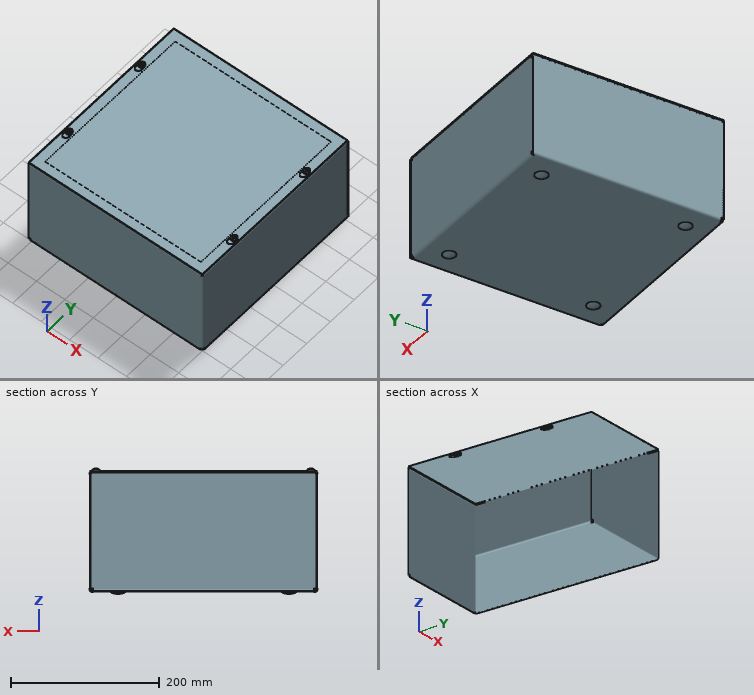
import cadquery as cq
import math

WIDTH = 308.0
SHEET = 1.5
BEND_RADIUS = 2.8
FLOOR_BEND_RADIUS = 4.0
FOOT_HEIGHT = 2.8
HOUSING_BOTTOM = FOOT_HEIGHT
HOUSING_TOP = 165.5
HOUSING_HEIGHT = HOUSING_TOP - HOUSING_BOTTOM
HOUSING_MIDDLE = (HOUSING_TOP + HOUSING_BOTTOM) / 2
FLANGE_WIDTH = 17.0
RELIEF_SIZE = 4.5

FOOT_DIAMETER = 19.7
FOOT_OFFSET = 115.5

LID_MARGIN = 1.2
LID_WIDTH = WIDTH - 2 * LID_MARGIN

TOTAL_HEIGHT = 170.0
SCREW_X = 145.0
SCREW_Y = 76.5
HEAD_DIAMETER = 10.0
SLOT_WIDTH = HEAD_DIAMETER
HEAD_DOME_HEIGHT = 2.2
HEAD_RIM_HEIGHT = TOTAL_HEIGHT - HEAD_DOME_HEIGHT - HOUSING_TOP
SLOT_TRAVEL = 7.7
RECESS_LENGTH = 6.0
RECESS_WIDTH = 1.2
RECESS_DEPTH = 2.0

SCREW_POINTS = [(x, y) for x in (-SCREW_X, SCREW_X) for y in (-SCREW_Y, SCREW_Y)]
FOOT_POINTS = [(x, y) for x in (-FOOT_OFFSET, FOOT_OFFSET) for y in (-FOOT_OFFSET, FOOT_OFFSET)]


def cap_midpoint(diameter, height):
    """Point halfway along the arc from the rim of a spherical cap to its top."""
    rim_radius = diameter / 2
    sphere_radius = (rim_radius**2 + height**2) / (2 * height)
    half_angle = math.asin(rim_radius / sphere_radius) / 2
    drop = sphere_radius * (1 - math.cos(half_angle))
    return sphere_radius * math.sin(half_angle), height - drop


def dome(diameter, height):
    """Spherical cap standing on the XY plane."""
    return (
        cq.Workplane("XZ")
        .lineTo(diameter / 2, 0)
        .threePointArc(cap_midpoint(diameter, height), (0, height))
        .close()
        .revolve(360, (0, 0), (0, 1))
    )


def blank(inset):
    """Square-edged housing envelope moved inward by inset."""
    width = WIDTH - 2 * inset
    height = HOUSING_HEIGHT - 2 * inset
    return cq.Workplane("XY").box(width, width, height).translate((0, 0, HOUSING_MIDDLE))


def side_bends(inset):
    """Envelope with its side panels bent into the floor and the top flange."""
    bent_at_floor = blank(inset).edges("|Y and <Z").fillet(FLOOR_BEND_RADIUS - inset)
    return bent_at_floor.edges("|Y and >Z").fillet(BEND_RADIUS - inset)


def folded_block(inset):
    """Envelope with every edge bent except the two upright rear ones."""
    end_bends = blank(inset).edges("|X and <Z").fillet(FLOOR_BEND_RADIUS - inset)
    end_bends = end_bends.edges("|X and >Z").fillet(BEND_RADIUS - inset)
    front_bends = blank(inset).edges("|Z and <Y").fillet(BEND_RADIUS - inset)
    return side_bends(inset).intersect(end_bends).intersect(front_bends)


def corner_reliefs(y_side, z):
    """Cubes around the left and right corners at one end of the housing."""
    cube_size = 2 * RELIEF_SIZE
    corners = [(x_side * WIDTH / 2, y_side * WIDTH / 2) for x_side in (-1, 1)]
    plane = cq.Workplane("XY", origin=(0, 0, z))
    return plane.pushPoints(corners).box(cube_size, cube_size, cube_size)


def make_foot(x, y):
    """Spherical cap below the floor."""
    upside_down = dome(FOOT_DIAMETER, FOOT_HEIGHT).rotate((0, 0, 0), (1, 0, 0), 180)
    return upside_down.translate((x, y, HOUSING_BOTTOM))


def make_housing():
    """Hollow folded box with top flange, corner reliefs and feet."""
    housing = folded_block(0).cut(folded_block(SHEET))

    opening_width = WIDTH - 2 * FLANGE_WIDTH
    opening = (
        cq.Workplane("XY", origin=(0, 0, HOUSING_TOP - SHEET))
        .rect(opening_width, opening_width)
        .extrude(SHEET)
    )
    housing = housing.cut(opening)

    housing = housing.cut(corner_reliefs(-1, HOUSING_BOTTOM))
    between_sides = side_bends(SHEET).translate((0, SHEET, 0))
    for z in (HOUSING_BOTTOM, HOUSING_TOP):
        housing = housing.cut(corner_reliefs(1, z).intersect(between_sides))

    for x, y in FOOT_POINTS:
        housing = housing.union(make_foot(x, y))
    return housing


def make_lid():
    """Flat sheet with one slot per screw, running forward from the screw."""
    lid = cq.Workplane("XY", origin=(0, 0, HOUSING_TOP)).rect(LID_WIDTH, LID_WIDTH).extrude(SHEET)
    slot_centers = [(x, y - SLOT_TRAVEL / 2) for x, y in SCREW_POINTS]
    slots = (
        cq.Workplane("XY", origin=(0, 0, HOUSING_TOP))
        .pushPoints(slot_centers)
        .slot2D(SLOT_TRAVEL + SLOT_WIDTH, SLOT_WIDTH, 90)
        .extrude(SHEET)
    )
    return lid.cut(slots)


def make_screw(x, y):
    """Domed screw head with a cross recess, seated on the flange inside the lid slot."""
    rim = cq.Workplane("XY", origin=(x, y, HOUSING_TOP)).circle(HEAD_DIAMETER / 2).extrude(HEAD_RIM_HEIGHT)
    rounded_top = dome(HEAD_DIAMETER, HEAD_DOME_HEIGHT).translate((x, y, HOUSING_TOP + HEAD_RIM_HEIGHT))
    head = rim.union(rounded_top)
    recess_plane = cq.Workplane("XY", origin=(x, y, TOTAL_HEIGHT))
    for length_x, length_y in ((RECESS_LENGTH, RECESS_WIDTH), (RECESS_WIDTH, RECESS_LENGTH)):
        head = head.cut(recess_plane.rect(length_x, length_y).extrude(-RECESS_DEPTH))
    return head


housing = make_housing()
lid = make_lid()
screws = [make_screw(x, y) for x, y in SCREW_POINTS]

result = cq.Compound.makeCompound([housing.val(), lid.val(), *[screw.val() for screw in screws]])